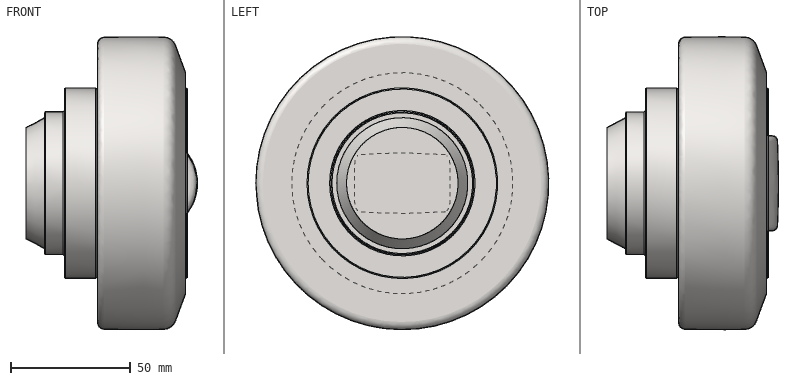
import cadquery as cq
import math


stud_tip_radius = 23.4
stud_base_radius = 27.5
stud_end = 7.75
hub_radius = 30.0
hub_end = 16.1

flange_radius = 40.0
flange_end = 29.75
small_bevel = 0.5

roller_radius = 61.5
roller_start = 30.0
roller_end = 67.0
roller_end_face_radius = 46.4
roller_cone_angle = 20.0
crown_radius = 500.0
stud_side_fillet = 3.0
cone_side_fillet = 5.5
cover_end = 67.75

overall_length = 72.0
side_roller_radius = 21.0
side_roller_length = 40.0
side_roller_fillet = 2.4
side_crown_radius = 400.0


def crown_drop(radius, width):
    """Height of a crowning arc of the given radius over the given width."""
    return radius - math.sqrt(radius**2 - (width / 2) ** 2)


def revolve_about_x(profile):
    return profile.close().revolve(360, (0, 0, 0), (1, 0, 0))


def make_stud_and_flange():
    """Conical stud end, hub with a flared foot, flange, and the neck leading into the roller."""
    profile = (
        cq.Workplane("XY")
        .lineTo(0, stud_tip_radius)
        .lineTo(stud_end, stud_base_radius)
        .lineTo(stud_end, hub_radius - small_bevel)
        .lineTo(stud_end + small_bevel, hub_radius)
        .lineTo(hub_end - small_bevel, hub_radius)
        .lineTo(hub_end, hub_radius + small_bevel)
        .lineTo(hub_end, flange_radius - small_bevel)
        .lineTo(hub_end + small_bevel, flange_radius)
        .lineTo(flange_end - small_bevel, flange_radius)
        .lineTo(flange_end, flange_radius - small_bevel)
        .lineTo(roller_start, flange_radius - small_bevel)
        .lineTo(roller_start, 0)
    )
    return revolve_about_x(profile)


def make_main_roller():
    """Crowned tyre with rounded shoulders and a conical far side."""
    cone_run = (roller_radius - roller_end_face_radius) * math.tan(math.radians(roller_cone_angle))
    shoulder_x = roller_end - cone_run
    shoulder_radius = roller_radius - crown_drop(crown_radius, shoulder_x - roller_start)
    crown_x = (roller_start + shoulder_x) / 2
    profile = (
        cq.Workplane("XY")
        .moveTo(roller_start, 0)
        .lineTo(roller_start, shoulder_radius)
        .threePointArc((crown_x, roller_radius), (shoulder_x, shoulder_radius))
        .lineTo(roller_end, roller_end_face_radius)
        .lineTo(roller_end, 0)
    )
    roller = revolve_about_x(profile)
    roller = roller.faces("<X").edges().fillet(stud_side_fillet)
    far_shoulder = cq.selectors.BoxSelector(
        (shoulder_x - small_bevel, -roller_radius, -roller_radius),
        (shoulder_x + small_bevel, roller_radius, roller_radius),
    )
    return roller.edges(far_shoulder).fillet(cone_side_fillet)


def make_end_cover():
    """Thin bevelled disc on the far face of the main roller."""
    cover = cq.Workplane("YZ").workplane(offset=roller_end).circle(flange_radius)
    cover = cover.extrude(cover_end - roller_end)
    return cover.faces(">X").edges().chamfer(small_bevel)


def make_side_roller():
    """Slightly crowned, round-edged roller across the end cover."""
    half_length = side_roller_length / 2
    rim_radius = side_roller_radius - crown_drop(side_crown_radius, side_roller_length)
    axis_x = overall_length - side_roller_radius
    roller = (
        cq.Workplane("XY")
        .moveTo(0, -half_length)
        .lineTo(rim_radius, -half_length)
        .threePointArc((side_roller_radius, 0), (rim_radius, half_length))
        .lineTo(0, half_length)
        .close()
        .revolve(360, (0, 0, 0), (0, 1, 0))
    )
    roller = roller.faces("<Y or >Y").edges().fillet(side_roller_fillet)
    return roller.translate((axis_x, 0, 0))


result = (
    make_stud_and_flange()
    .union(make_main_roller())
    .union(make_end_cover())
    .union(make_side_roller())
)